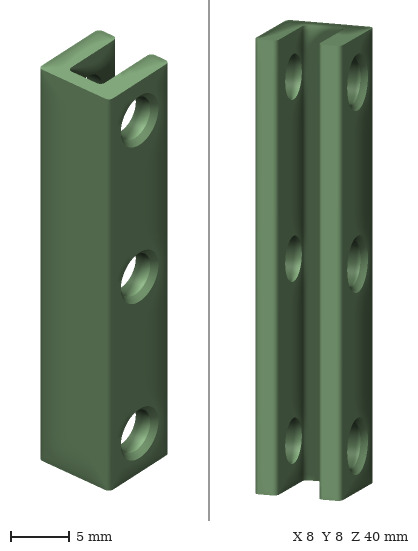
import cadquery as cq

length = 40.0
width = 8.0
wall = 2.1
floor = 1.4
edge_radius = 0.5

hole_diameter = 4.0
countersink_diameter = 5.0
countersink_depth = (countersink_diameter - hole_diameter) / 2
hole_pitch = 16.0
hole_count = 3

slot_width = width - 2 * wall
slot_depth = width - floor


def channel():
    """U-shaped bar, open toward +Y, with every long edge rounded."""
    block = cq.Workplane("XY").box(width, width, length)
    slot = (
        cq.Workplane("XY")
        .box(slot_width, slot_depth, length)
        .translate((0, floor / 2, 0))
    )
    return block.cut(slot).edges("|Z").fillet(edge_radius)


def cross_hole(z):
    """Through hole along X, countersunk on both outer side faces."""
    hole_radius = hole_diameter / 2
    countersink_radius = countersink_diameter / 2
    half_width = width / 2
    cone_start = half_width - countersink_depth
    return (
        cq.Workplane("XY")
        .moveTo(-half_width, 0)
        .lineTo(-half_width, countersink_radius)
        .lineTo(-cone_start, hole_radius)
        .lineTo(cone_start, hole_radius)
        .lineTo(half_width, countersink_radius)
        .lineTo(half_width, 0)
        .close()
        .revolve(360, (0, 0, 0), (1, 0, 0))
        .translate((0, 0, z))
    )


result = channel()
for index in range(hole_count):
    hole_z = (index - (hole_count - 1) / 2) * hole_pitch
    result = result.cut(cross_hole(hole_z))